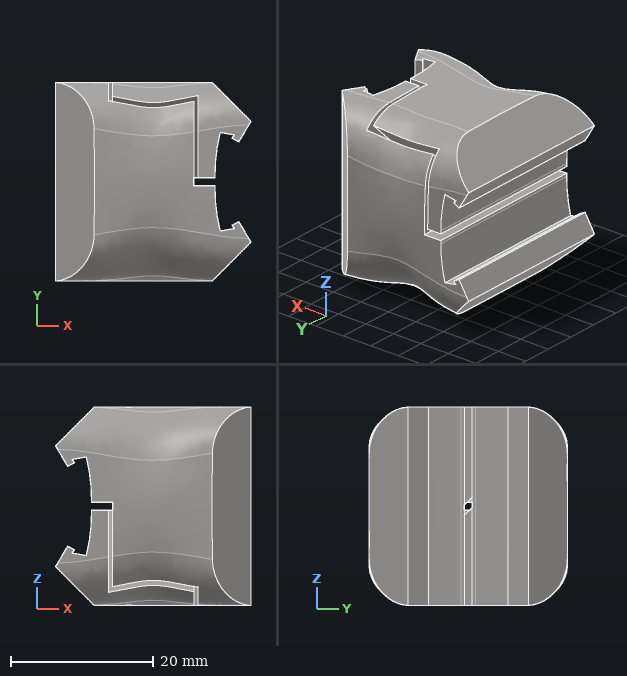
import cadquery as cq
import math

HALF_SIZE = 14.0
HALF_LENGTH = 13.77
OVERSHOOT = 6.0

END_FLAT = 8.0
WAIST_FLAT = 6.46
END_CROWN = 0.01
WAIST_CROWN = 0.76
WAIST_SPREAD = 5.0
STATION_STEPS = 5

BEVEL_TOP = (-8.27, HALF_SIZE)
JAW_TIP = (-HALF_LENGTH, 8.5)
LIP_OUTER = (-12.05, 5.61)
LIP_INNER = (-11.08, 6.11)
LIP_NOTCH = (-11.39, 6.58)
SEAT_CORNER = (-9.44, 6.92)
SEAT_FLAT = (-8.71, 1.0)

SLOT_WIDTH = 1.06
SLIT_WIDTH = 1.0
SLIT_HALF_LENGTH = 6.32
STEP_GAP = 0.6


def cross_section(x):
    """Square with crowned sides and rounded corners, all arcs tangent, at station x."""
    blend = (1 - math.cos(math.pi * x / HALF_LENGTH)) / 2
    flat = WAIST_FLAT + (END_FLAT - WAIST_FLAT) * blend
    crown = END_CROWN + WAIST_CROWN * math.exp(-((x / WAIST_SPREAD) ** 2))
    shoulder = HALF_SIZE - crown
    lean = 2 * math.atan(crown / flat)
    corner_radius = (shoulder - flat) / (math.cos(lean) - math.sin(lean))
    corner_centre = flat - corner_radius * math.sin(lean)
    corner_mid = corner_centre + corner_radius * math.sqrt(0.5)
    return (
        cq.Workplane("YZ", origin=(x, 0, 0))
        .moveTo(-flat, shoulder)
        .threePointArc((0, HALF_SIZE), (flat, shoulder))
        .threePointArc((corner_mid, corner_mid), (shoulder, flat))
        .threePointArc((HALF_SIZE, 0), (shoulder, -flat))
        .threePointArc((corner_mid, -corner_mid), (flat, -shoulder))
        .threePointArc((0, -HALF_SIZE), (-flat, -shoulder))
        .threePointArc((-corner_mid, -corner_mid), (-shoulder, -flat))
        .threePointArc((-HALF_SIZE, 0), (-shoulder, flat))
        .threePointArc((-corner_mid, corner_mid), (-flat, shoulder))
        .close()
        .val()
    )


def waisted_block():
    """Outer form shared by both bodies, lofted along X."""
    steps = range(-STATION_STEPS, STATION_STEPS + 1)
    sections = [cross_section(HALF_LENGTH * i / STATION_STEPS) for i in steps]
    return cq.Workplane(cq.Solid.makeLoft(sections))


def jaw_cutter():
    """Everything at the -X end that is not the upper jaw, run right across Y."""
    reach = HALF_SIZE + OVERSHOOT
    slot_end = STEP_GAP - SLIT_HALF_LENGTH
    seat_rise = SEAT_CORNER[1] - SEAT_FLAT[1]
    seat_run = SEAT_FLAT[0] - SEAT_CORNER[0]
    seat_radius = (seat_rise**2 + seat_run**2) / (2 * seat_run)
    half_angle = math.asin(seat_rise / seat_radius) / 2
    seat_mid = (
        SEAT_FLAT[0] - seat_radius * (1 - math.cos(half_angle)),
        SEAT_FLAT[1] + seat_radius * math.sin(half_angle),
    )
    return (
        cq.Workplane("XZ", origin=(0, reach, 0))
        .moveTo(-reach, reach)
        .lineTo(BEVEL_TOP[0] + OVERSHOOT, BEVEL_TOP[1] + OVERSHOOT)
        .lineTo(*JAW_TIP)
        .lineTo(*LIP_OUTER)
        .lineTo(*LIP_INNER)
        .lineTo(*LIP_NOTCH)
        .lineTo(*SEAT_CORNER)
        .threePointArc(seat_mid, SEAT_FLAT)
        .lineTo(SEAT_FLAT[0], SLOT_WIDTH / 2)
        .lineTo(slot_end, SLOT_WIDTH / 2)
        .lineTo(slot_end, -reach)
        .lineTo(-reach, -reach)
        .close()
        .extrude(2 * reach)
    )


def slit_cutter():
    """The half of the middle below the diagonal plane, slit included."""
    reach = HALF_SIZE + OVERSHOOT
    rise = SLIT_WIDTH / math.sqrt(2)
    return (
        cq.Workplane("YZ", origin=(-SLIT_HALF_LENGTH, 0, 0))
        .polyline([(-reach, -reach + rise), (reach, reach + rise), (reach, -reach)])
        .lineTo(-reach, -reach)
        .close()
        .extrude(2 * SLIT_HALF_LENGTH)
    )


def upper_clamp():
    """Body with the upper jaw at -X and, a quarter turn on, the -Y jaw at +X."""
    near_cutter = jaw_cutter()
    far_cutter = near_cutter.rotate((0, 0, 0), (0, 1, -1), 180)
    return waisted_block().cut(near_cutter).cut(far_cutter).cut(slit_cutter())


clamps = []
for turn in (0, 180):
    clamps.append(upper_clamp().rotate((0, 0, 0), (1, 0, 0), turn))

result = cq.Compound.makeCompound([clamp.val() for clamp in clamps])